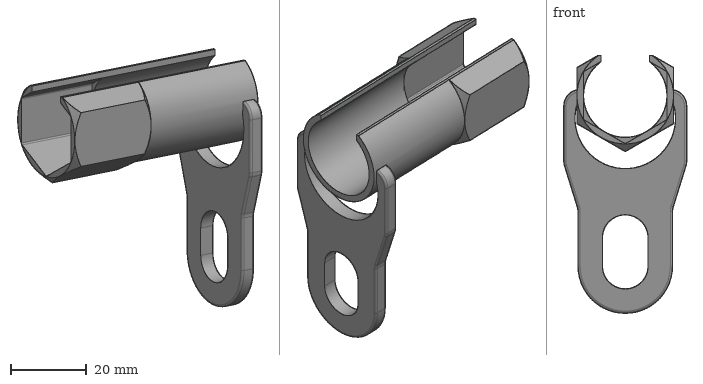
import cadquery as cq
import math


barrel_length = 60.0
barrel_radius = 12.8
bore_radius = 11.0

hex_length = 25.0
hex_width = 2 * barrel_radius
hex_chamfer_radius = 12.75
hex_chamfer_angle = 45.0
hex_socket_width = 2 * bore_radius
hex_socket_depth = 23.0
hex_socket_corner_radius = 0.5

opening_width = 12.8
opening_lip_height = 10.63

plate_thickness = 4.0
plate_setback = 1.0
plate_half_width = 16.25
plate_shoulder_radius = 4.35
plate_shoulder_z = -2.75
plate_taper_top_z = -17.9
plate_taper_bottom_z = -30.0
plate_knee_radius = 4.0
plate_end_radius = 12.5
plate_end_z = -45.0
plate_edge_fillet = 0.6
relief_radius = 13.25
relief_z = -6.0
slot_width = 12.0
slot_length = 19.5


def along_y(start_y):
    """Workplane at start_y with local x = X and local y = Z; positive extrusion goes toward -Y."""
    return cq.Workplane("XZ", origin=(0, start_y, 0))


def cylinder(radius, start_y, length, centre_z=0.0):
    return along_y(start_y + length).center(0, centre_z).circle(radius).extrude(length)


def hex_prism(width, length):
    """Hexagonal prism from Y = 0 with two flats facing +X and -X."""
    corner_radius = width / math.sqrt(3)
    corners = []
    for index in range(6):
        angle = math.radians(30 + 60 * index)
        corners.append((corner_radius * math.cos(angle), corner_radius * math.sin(angle)))
    return along_y(length).polyline(corners).close().extrude(length)


def hex_end():
    """Hexagon with its corners turned off by a cone at both ends."""
    corner_radius = hex_width / math.sqrt(3)
    cone_length = (corner_radius - hex_chamfer_radius) / math.tan(math.radians(hex_chamfer_angle))
    envelope = (
        cq.Workplane("XY")
        .moveTo(0, 0)
        .lineTo(hex_chamfer_radius, 0)
        .lineTo(corner_radius, cone_length)
        .lineTo(corner_radius, hex_length - cone_length)
        .lineTo(hex_chamfer_radius, hex_length)
        .lineTo(0, hex_length)
        .close()
        .revolve(360, (0, 0, 0), (0, 1, 0))
    )
    return hex_prism(hex_width, hex_length).intersect(envelope)


def hex_socket():
    return hex_prism(hex_socket_width, hex_socket_depth).edges("|Y").fillet(hex_socket_corner_radius)


def hanger_plate():
    front_y = barrel_length - plate_setback - plate_thickness
    shoulder_x = plate_half_width - plate_shoulder_radius
    shoulder_top_z = plate_shoulder_z + plate_shoulder_radius
    shoulder_mid = plate_shoulder_radius * math.sqrt(0.5)
    plate = (
        along_y(front_y + plate_thickness)
        .moveTo(-shoulder_x, shoulder_top_z)
        .lineTo(shoulder_x, shoulder_top_z)
        .threePointArc(
            (shoulder_x + shoulder_mid, plate_shoulder_z + shoulder_mid),
            (plate_half_width, plate_shoulder_z),
        )
        .lineTo(plate_half_width, plate_taper_top_z)
        .lineTo(plate_end_radius, plate_taper_bottom_z)
        .lineTo(plate_end_radius, plate_end_z)
        .threePointArc((0, plate_end_z - plate_end_radius), (-plate_end_radius, plate_end_z))
        .lineTo(-plate_end_radius, plate_taper_bottom_z)
        .lineTo(-plate_half_width, plate_taper_top_z)
        .lineTo(-plate_half_width, plate_shoulder_z)
        .threePointArc(
            (-shoulder_x - shoulder_mid, plate_shoulder_z + shoulder_mid),
            (-shoulder_x, shoulder_top_z),
        )
        .close()
        .extrude(plate_thickness)
    )
    for knee_z, knee_x in ((plate_taper_top_z, plate_half_width), (plate_taper_bottom_z, plate_end_radius)):
        for side in (-1, 1):
            knee = cq.selectors.NearestToPointSelector(
                (side * knee_x, front_y + plate_thickness / 2, knee_z)
            )
            plate = plate.edges("|Y").edges(knee).fillet(plate_knee_radius)
    plate = plate.faces("<Y or >Y").edges().fillet(plate_edge_fillet)

    relief = cylinder(relief_radius, front_y, plate_thickness, relief_z)
    slot_bottom_z = plate_end_z - slot_width / 2
    slot = (
        along_y(front_y + plate_thickness)
        .center(0, slot_bottom_z + slot_length / 2)
        .slot2D(slot_length, slot_width, 90)
        .extrude(plate_thickness)
    )
    return plate.cut(relief).cut(slot)


def top_opening():
    """Slot between the lips, plus everything above the lips."""
    height = 2 * barrel_radius
    slot = cq.Workplane("XY").box(opening_width, barrel_length, height, centered=(True, False, False))
    above_lips = (
        cq.Workplane("XY", origin=(0, 0, opening_lip_height))
        .box(hex_width, barrel_length, height, centered=(True, False, False))
    )
    return slot.union(above_lips)


barrel = cylinder(barrel_radius, hex_length, barrel_length - hex_length)
body = barrel.union(hex_end()).union(hanger_plate())
body = body.cut(cylinder(bore_radius, 0, barrel_length))
body = body.cut(hex_socket())
result = body.cut(top_opening())